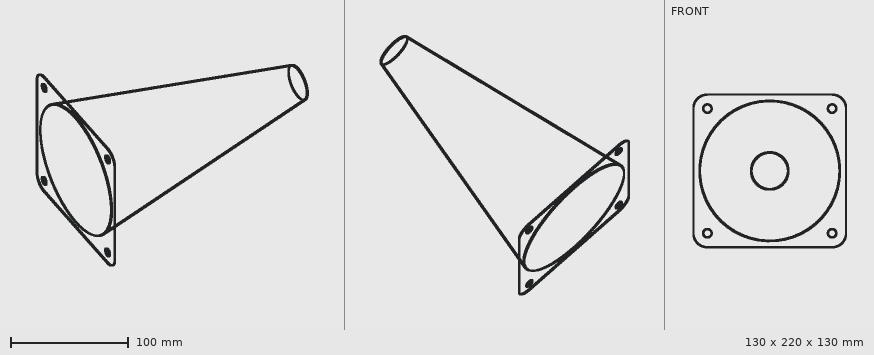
import cadquery as cq
import math

flange_side = 130.0
flange_thickness = 0.75
corner_radius = 12.0
screw_hole_diameter = 7.0
screw_hole_pitch = flange_side - 2 * corner_radius

total_length = 220.0
wall_thickness = 0.75
base_diameter = 120.0
tip_diameter = 32.0

taper = (base_diameter - tip_diameter) / total_length
side_angle = math.atan(taper / 2)
radial_wall = wall_thickness / math.cos(side_angle)
cavity_length = total_length - wall_thickness
mouth_diameter = base_diameter - 2 * radial_wall
cavity_end_diameter = mouth_diameter - taper * cavity_length


def make_flange():
    """Square plate with rounded corners and a screw hole in each corner."""
    plate = (
        cq.Workplane("XZ")
        .rect(flange_side, flange_side)
        .extrude(-flange_thickness)
        .edges("|Y")
        .fillet(corner_radius)
    )
    screw_holes = (
        cq.Workplane("XZ")
        .rect(screw_hole_pitch, screw_hole_pitch, forConstruction=True)
        .vertices()
        .circle(screw_hole_diameter / 2)
        .extrude(-flange_thickness)
    )
    return plate.cut(screw_holes)


def make_solid_cone(start_diameter, end_diameter, length):
    """Solid truncated cone on the Y axis, running from Y = 0 to Y = length."""
    profile = (
        cq.Workplane("XY")
        .lineTo(start_diameter / 2, 0)
        .lineTo(end_diameter / 2, length)
        .lineTo(0, length)
        .close()
    )
    return profile.revolve(360, (0, 0, 0), (0, 1, 0))


outer_cone = make_solid_cone(base_diameter, tip_diameter, total_length)
cavity = make_solid_cone(mouth_diameter, cavity_end_diameter, cavity_length)
result = make_flange().union(outer_cone).cut(cavity)